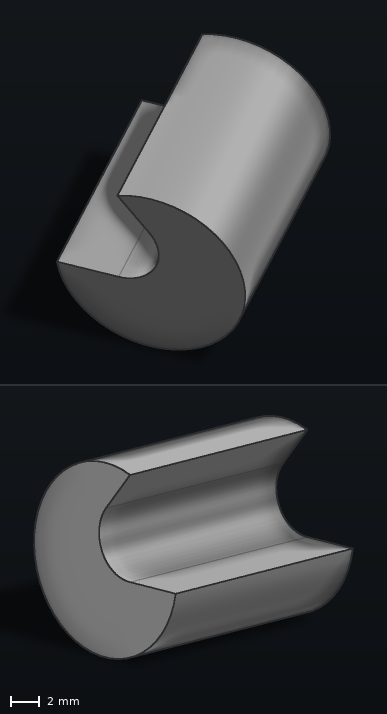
import cadquery as cq
import math

length = 17.5
bar_diameter = 14.05
bar_radius = bar_diameter / 2

groove_radius = 3.0
groove_x = -2.38
groove_z = 1.85
upper_wall_angle = 130.0
wall_length = bar_diameter


def polar_offset(point, distance, angle):
    """Move a point in the XZ plane by a distance at an angle in degrees from +X."""
    turn = math.radians(angle)
    return (point[0] + distance * math.cos(turn), point[1] + distance * math.sin(turn))


groove_center = (groove_x, groove_z)
lower_normal = -90.0
upper_normal = upper_wall_angle - 90.0
lower_tangent = polar_offset(groove_center, groove_radius, lower_normal)
upper_tangent = polar_offset(groove_center, groove_radius, upper_normal)
arc_middle = polar_offset(groove_center, groove_radius, (lower_normal + upper_normal) / 2)
lower_end = polar_offset(lower_tangent, wall_length, 180.0)
upper_end = polar_offset(upper_tangent, wall_length, upper_wall_angle)

bar = cq.Workplane("XZ").circle(bar_radius).extrude(length / 2, both=True)
groove = (
    cq.Workplane("XZ")
    .moveTo(*lower_end)
    .lineTo(*lower_tangent)
    .threePointArc(arc_middle, upper_tangent)
    .lineTo(*upper_end)
    .close()
    .extrude(length / 2, both=True)
)

result = bar.cut(groove)